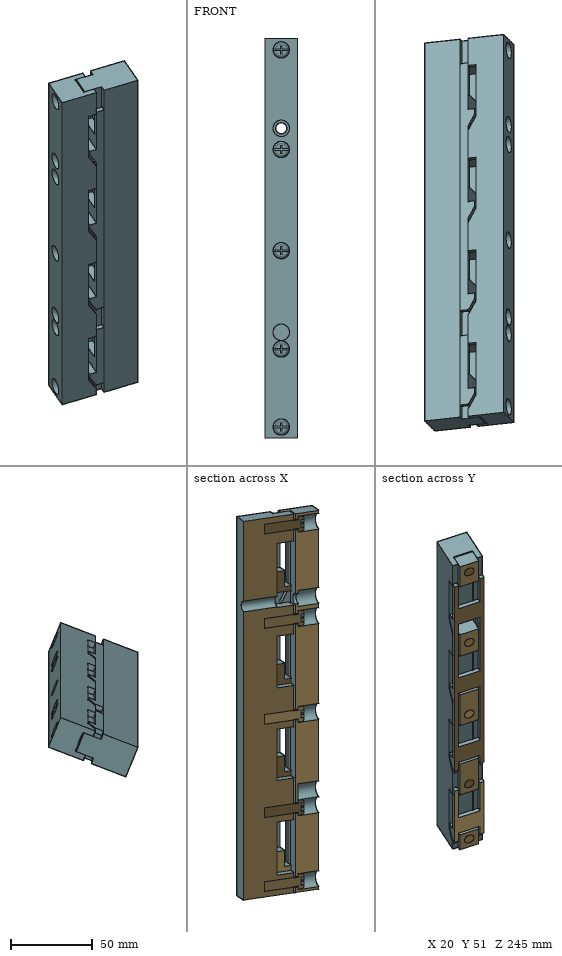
import cadquery as cq
import math


WIDTH = 20.0
THICKNESS = 51.0
LENGTH = 245.0

SIDE_WALL = 3.7
TONGUE_WIDTH = WIDTH - 2 * SIDE_WALL
PARTING_Y = 23.0
SLIDE_THICKNESS = 5.1
SHOULDER_Y = PARTING_Y + SLIDE_THICKNESS
GROOVE_FLOOR_Y = 16.2
TIP_GAP = 0.7
TONGUE_TIP_Y = GROOVE_FLOOR_Y + TIP_GAP

WINDOW_DEPTH = 5.1
WINDOW_FLOOR_Y = PARTING_Y - WINDOW_DEPTH
WINDOW_COUNT = 4
WINDOW_PITCH = 60.0
LOWEST_WINDOW_TOP = 47.3
WINDOW_STRAIGHT = 33.0
LOWEST_WINDOW_STRAIGHT = 33.8
RAMP_SLOPE = math.tan(math.radians(60))
WINDOW_RAMP = WINDOW_DEPTH * RAMP_SLOPE

SLOT_END_GAP = 1.5
TOP_SLOT_BOTTOM = 186.2

TOOTH_GAP = 0.7
TOOTH_DEPTH = WINDOW_DEPTH - TOOTH_GAP
TOOTH_STRAIGHT = 3.5
TOOTH_RAMP = TOOTH_DEPTH * RAMP_SLOPE
TOOTH_TOP_OFFSET = 10.3
TOOTH_PITCH = 59.8
BRIDGE_RISE = 10.3
SLIDE_SIDE = 3.0
LONG_SLIDE_BOTTOM = 69.0
LONG_SLIDE_TOP = 229.0
LONG_SLIDE_TEETH = 3
SHORT_SLIDE_BOTTOM = 7.8
SHORT_SLIDE_TOP = 52.7
SHORT_SLIDE_TEETH = 1

SCREW_HEIGHTS = [6.9, 54.6, 115.0, 177.0, 238.0]
MOUNTING_HEIGHT = 189.9
BLIND_HOLE_HEIGHT = 65.0
COUNTERBORE_DIAMETER = 10.0
COUNTERBORE_DEPTH = 14.0
CLEARANCE_DIAMETER = 6.5
HEAD_DIAMETER = 9.8
HEAD_HEIGHT = 4.0
HEAD_ROUNDING = 1.2
SHANK_DIAMETER = 6.0
SHANK_END_Y = 36.8
DRIVE_SLOT_WIDTH = 1.0
DRIVE_CROSS_LENGTH = 5.0
DRIVE_DEPTH = 2.0


def box(width, y_start, y_end, z_start, z_end):
    """A block centred on X = 0 between two Y and two Z positions."""
    block = cq.Workplane("XY").box(width, y_end - y_start, z_end - z_start, centered=(True, False, False))
    return block.translate((0, y_start, z_start))


def rod(diameter, y_start, y_end, z):
    """A cylinder along Y, centred on X = 0 at height z."""
    cylinder = cq.Workplane("XZ").circle(diameter / 2).extrude(-(y_end - y_start))
    return cylinder.translate((0, y_start, z))


def across_width(points):
    """A closed (Y, Z) outline extruded over the full width."""
    return cq.Workplane("YZ").polyline(points).close().extrude(WIDTH / 2, both=True)


def window_top(index):
    return LOWEST_WINDOW_TOP + index * WINDOW_PITCH


def window(index):
    """A window, open toward the parting plane, with a ramp at its lower end."""
    top = window_top(index)
    ramp_start = top - (LOWEST_WINDOW_STRAIGHT if index == 0 else WINDOW_STRAIGHT)
    return across_width(
        [
            (PARTING_Y, top),
            (WINDOW_FLOOR_Y, top),
            (WINDOW_FLOOR_Y, ramp_start),
            (PARTING_Y, ramp_start - WINDOW_RAMP),
        ]
    )


def counterbored_hole(z):
    """A head recess from the front face and a clearance hole through the whole rail."""
    return rod(COUNTERBORE_DIAMETER, 0, COUNTERBORE_DEPTH, z).union(rod(CLEARANCE_DIAMETER, 0, THICKNESS, z))


def make_front_block():
    block = box(WIDTH, 0, PARTING_Y, 0, LENGTH)
    block = block.cut(box(TONGUE_WIDTH, GROOVE_FLOOR_Y, PARTING_Y, 0, LENGTH))
    for index in range(WINDOW_COUNT):
        block = block.cut(window(index))
    for z in SCREW_HEIGHTS + [MOUNTING_HEIGHT]:
        block = block.cut(counterbored_hole(z))
    return block.cut(rod(COUNTERBORE_DIAMETER, 0, COUNTERBORE_DEPTH, BLIND_HOLE_HEIGHT))


def tooth_tops(bottom, teeth):
    """Heights of the flat upper faces of a slide's teeth."""
    return [bottom + TOOTH_TOP_OFFSET + index * TOOTH_PITCH for index in range(teeth)]


def bridge_bottom(tooth_top):
    return tooth_top - TOOTH_STRAIGHT


def make_rear_block():
    block = box(WIDTH, SHOULDER_Y, THICKNESS, 0, LENGTH)
    block = block.union(box(TONGUE_WIDTH, TONGUE_TIP_Y, SHOULDER_Y, 0, LENGTH))
    all_tooth_tops = tooth_tops(SHORT_SLIDE_BOTTOM, SHORT_SLIDE_TEETH)
    all_tooth_tops += tooth_tops(LONG_SLIDE_BOTTOM, LONG_SLIDE_TEETH)
    for index, tooth_top in enumerate(all_tooth_tops):
        slot_bottom = bridge_bottom(tooth_top) - SLOT_END_GAP
        if index == WINDOW_COUNT - 1:
            slot_bottom = TOP_SLOT_BOTTOM
        block = block.cut(box(TONGUE_WIDTH, TONGUE_TIP_Y, SHOULDER_Y, slot_bottom, window_top(index)))
    for z in SCREW_HEIGHTS:
        block = block.cut(rod(SHANK_DIAMETER, TONGUE_TIP_Y, SHANK_END_Y, z))
    return block.cut(rod(CLEARANCE_DIAMETER, TONGUE_TIP_Y, THICKNESS, MOUNTING_HEIGHT))


def tooth(top):
    """A tooth with a flat upper face and a ramp below, reaching forward into a window."""
    tip_y = PARTING_Y - TOOTH_DEPTH
    ramp_start = top - TOOTH_STRAIGHT
    return across_width(
        [
            (PARTING_Y, top),
            (tip_y, top),
            (tip_y, ramp_start),
            (PARTING_Y, ramp_start - TOOTH_RAMP),
        ]
    )


def make_slide(bottom, top, teeth):
    """Two side plates joined through the tongue slots by one bridge behind each tooth."""
    slide = box(WIDTH, PARTING_Y, SHOULDER_Y, bottom, top)
    for tooth_top in tooth_tops(bottom, teeth):
        slide = slide.union(tooth(tooth_top))

    inner_width = WIDTH - 2 * SLIDE_SIDE
    low = bottom - TOOTH_RAMP
    for tooth_top in tooth_tops(bottom, teeth):
        slide = slide.cut(box(inner_width, WINDOW_FLOOR_Y, SHOULDER_Y, low, bridge_bottom(tooth_top)))
        low = tooth_top + BRIDGE_RISE
    return slide.cut(box(inner_width, WINDOW_FLOOR_Y, SHOULDER_Y, low, top))


def make_screw(z):
    """A round-edged screw with a full drive slot and a shorter crossing slot."""
    head_front = COUNTERBORE_DEPTH - HEAD_HEIGHT
    head = rod(HEAD_DIAMETER, head_front, COUNTERBORE_DEPTH, z).faces("<Y").edges().fillet(HEAD_ROUNDING)
    slot_end = head_front + DRIVE_DEPTH
    slot = box(HEAD_DIAMETER, head_front, slot_end, z - DRIVE_SLOT_WIDTH / 2, z + DRIVE_SLOT_WIDTH / 2)
    half_cross = DRIVE_CROSS_LENGTH / 2
    cross = box(DRIVE_SLOT_WIDTH, head_front, slot_end, z - half_cross, z + half_cross)
    shank = rod(SHANK_DIAMETER, COUNTERBORE_DEPTH, SHANK_END_Y, z)
    return head.cut(slot).cut(cross).union(shank)


front_block = make_front_block()
rear_block = make_rear_block()
long_slide = make_slide(LONG_SLIDE_BOTTOM, LONG_SLIDE_TOP, LONG_SLIDE_TEETH)
short_slide = make_slide(SHORT_SLIDE_BOTTOM, SHORT_SLIDE_TOP, SHORT_SLIDE_TEETH)
screws = [make_screw(z) for z in SCREW_HEIGHTS]

result = cq.Compound.makeCompound(
    [
        front_block.val(),
        rear_block.val(),
        long_slide.val(),
        short_slide.val(),
        *[screw.val() for screw in screws],
    ]
)